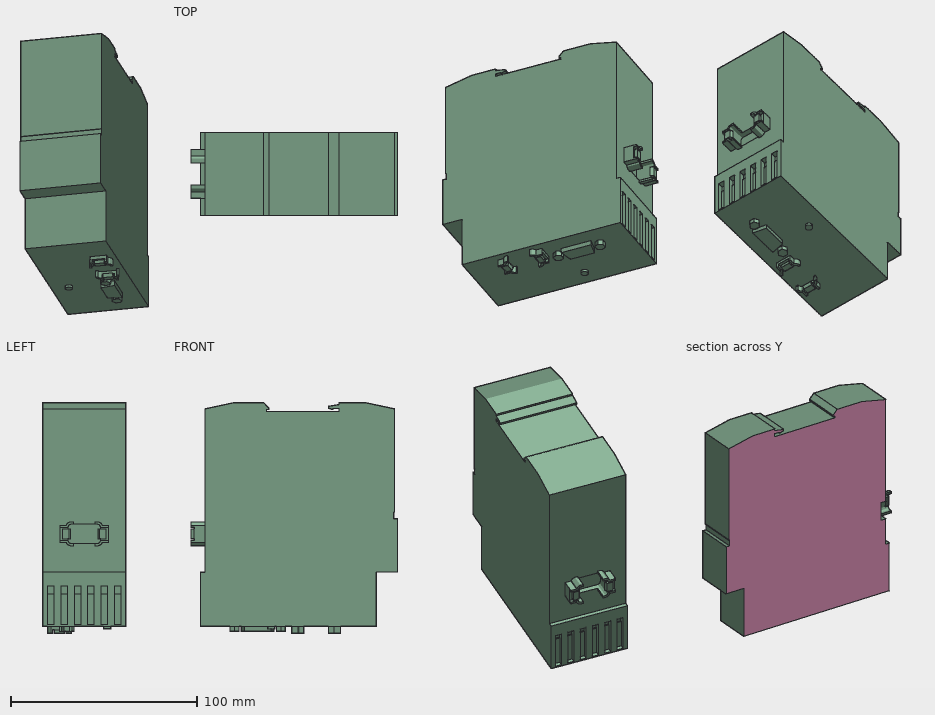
import cadquery as cq

WIDTH = 44.8
HEIGHT = 120.3
LENGTH = 102.0

FOOT_HEIGHT = 29.1
FOOT_OVERHANG = 2.4
FOOT_LENGTH = 94.5

FRONT_BLOCK_X = 103.7
FRONT_BLOCK_TOP = 57.9
FRONT_STEP_TOP = 61.4
FRONT_STEP = 0.5

SHOULDER_DROP = 3.3
REAR_SHOULDER_X = 15.5
FRONT_SHOULDER_X = 86.3
CHANNEL_DROP = 4.7
CHANNEL_REAR_X = 33.2
CHANNEL_FRONT_X = 72.0
REAR_LIP_X = 34.3
REAR_LIP_START_X = 31.6
REAR_LIP_DROP = 2.9
REAR_LIP_UNDER_DROP = 3.8
LATCH_TIP_X = 66.3
LATCH_TIP_TOP_DROP = 2.0
LATCH_TIP_BOTTOM_DROP = 3.0
LATCH_ROOT_DROP = 1.0
LATCH_HEEL_X = 68.8
LATCH_HEEL_DROP = 3.8
LATCH_UNDER_DROP = 3.2

SLOT_COUNT = 6
SLOT_PITCH = 7.2
SLOT_WIDTH = 3.5
SLOT_BOTTOM = 0.9
SLOT_STEP_Z = 17.5
SLOT_TOP = 21.7
SLOT_DEPTH = 2.4
SLOT_UPPER_DEPTH = 3.1

CLIP_INNER_REACH = 8.7
CLIP_INNER_HALF_HEIGHT = 5.2
CLIP_INNER_RADIUS = 1.7
CLIP_WALL = 1.2
CLIP_FLANGE_REACH = 13.1
CLIP_FLANGE_HALF_HEIGHT = 4.6
CLIP_NOTCH_HALF_HEIGHT = 3.5
CLIP_NOTCH_DEPTH = 1.9
HOOK_TIP_REACH = 8.2
HOOK_BASE_REACH = 7.3
HOOK_OUTER_REACH = 11.7
HOOK_HALF_HEIGHT = 2.7

REAR_CLIP_LENGTH = 7.6
REAR_CLIP_Z = 49.7
REAR_CLIP_ARM_REACH = 5.8
REAR_POCKET_DEPTH = 3.0
BOTTOM_CLIP_LENGTH = 3.7
BOTTOM_CLIP_X = 59.8
BOTTOM_CLIP_Y = 13.4
BOTTOM_CLIP_ARM_REACH = 6.6

CONNECTOR_X = 28.4
CONNECTOR_Y = 9.4
CONNECTOR_LENGTH = 17.7
CONNECTOR_SHORT_LENGTH = 14.4
CONNECTOR_WIDTH = 7.9
CONNECTOR_DEPTH = 2.7
STUD_SPACING = 24.9
STUD_CORNER_DIAMETER = 5.7

BUTTON_X = 35.7
BUTTON_Y = -12.3
BUTTON_DIAMETER = 4.0
BUTTON_DEPTH = 1.4


def box(x_range, y_range, z_range):
    """Box between the given limits."""
    size = [high - low for low, high in (x_range, y_range, z_range)]
    low_corner = (x_range[0], y_range[0], z_range[0])
    return cq.Workplane("XY").box(*size, centered=False).translate(low_corner)


def make_housing():
    """Side outline of housing, foot, front block and rail channel, extruded across the width."""
    outline = [
        (-FOOT_OVERHANG, 0),
        (FOOT_LENGTH - FOOT_OVERHANG, 0),
        (FOOT_LENGTH - FOOT_OVERHANG, FOOT_HEIGHT),
        (FRONT_BLOCK_X, FOOT_HEIGHT),
        (FRONT_BLOCK_X, FRONT_BLOCK_TOP),
        (LENGTH - FRONT_STEP, FRONT_BLOCK_TOP),
        (LENGTH - FRONT_STEP, FRONT_STEP_TOP),
        (LENGTH, FRONT_STEP_TOP),
        (LENGTH, HEIGHT - SHOULDER_DROP),
        (FRONT_SHOULDER_X, HEIGHT),
        (CHANNEL_FRONT_X, HEIGHT),
        (CHANNEL_FRONT_X, HEIGHT - LATCH_ROOT_DROP),
        (LATCH_TIP_X, HEIGHT - LATCH_TIP_TOP_DROP),
        (LATCH_TIP_X, HEIGHT - LATCH_TIP_BOTTOM_DROP),
        (LATCH_HEEL_X, HEIGHT - LATCH_HEEL_DROP),
        (LATCH_HEEL_X, HEIGHT - LATCH_UNDER_DROP),
        (CHANNEL_FRONT_X, HEIGHT - LATCH_UNDER_DROP),
        (CHANNEL_FRONT_X, HEIGHT - CHANNEL_DROP),
        (CHANNEL_REAR_X, HEIGHT - CHANNEL_DROP),
        (CHANNEL_REAR_X, HEIGHT - REAR_LIP_UNDER_DROP),
        (REAR_LIP_X, HEIGHT - REAR_LIP_UNDER_DROP),
        (REAR_LIP_X, HEIGHT - REAR_LIP_DROP),
        (REAR_LIP_START_X, HEIGHT),
        (REAR_SHOULDER_X, HEIGHT),
        (0, HEIGHT - SHOULDER_DROP),
        (0, FOOT_HEIGHT),
        (-FOOT_OVERHANG, FOOT_HEIGHT),
    ]
    return cq.Workplane("XZ").polyline(outline).close().extrude(WIDTH / 2, both=True)


def make_slots():
    """Cutters for the row of stepped vent slots."""
    slots = cq.Workplane("XY")
    rear = -FOOT_OVERHANG
    for index in range(SLOT_COUNT):
        centre = (index - (SLOT_COUNT - 1) / 2) * SLOT_PITCH
        y_range = (centre - SLOT_WIDTH / 2, centre + SLOT_WIDTH / 2)
        slots = slots.add(box((rear, rear + SLOT_DEPTH), y_range, (SLOT_BOTTOM, SLOT_TOP)))
        slots = slots.add(box((rear, rear + SLOT_UPPER_DEPTH), y_range, (SLOT_STEP_Z, SLOT_TOP)))
    return slots.combine()


def clip_interior(depth):
    """Rounded opening enclosed by a clip pair, centred on the local Z axis."""
    opening = cq.Workplane("XY").rect(2 * CLIP_INNER_REACH, 2 * CLIP_INNER_HALF_HEIGHT).extrude(depth)
    return opening.edges("|Z").fillet(CLIP_INNER_RADIUS)


def make_clip_pair(length, arm_reach):
    """Two facing C-shaped clips rising along local Z, spaced along local X."""
    outer_reach = CLIP_INNER_REACH + CLIP_WALL
    outer_half_height = CLIP_INNER_HALF_HEIGHT + CLIP_WALL
    ring = cq.Workplane("XY").rect(2 * outer_reach, 2 * outer_half_height).extrude(length)
    ring = ring.edges("|Z").fillet(CLIP_INNER_RADIUS + CLIP_WALL)
    flanges = cq.Workplane("XY").rect(2 * CLIP_FLANGE_REACH, 2 * CLIP_FLANGE_HALF_HEIGHT).extrude(length)
    gap = cq.Workplane("XY").rect(2 * arm_reach, 2 * outer_half_height).extrude(length)
    clips = ring.union(flanges).cut(clip_interior(length)).cut(gap)

    notch_floor = length - CLIP_NOTCH_DEPTH
    notch = box(
        (-CLIP_FLANGE_REACH, CLIP_FLANGE_REACH),
        (-CLIP_NOTCH_HALF_HEIGHT, CLIP_NOTCH_HALF_HEIGHT),
        (notch_floor, length),
    )
    hook_outline = [
        (HOOK_BASE_REACH, notch_floor),
        (HOOK_OUTER_REACH, notch_floor),
        (HOOK_OUTER_REACH, length),
        (HOOK_TIP_REACH, length),
    ]
    hook = cq.Workplane("XZ").polyline(hook_outline).close().extrude(HOOK_HALF_HEIGHT, both=True)
    return clips.cut(notch).union(hook).union(hook.mirror("YZ"))


def place(shape, plane):
    """Move a shape from local coordinates onto the given plane."""
    return cq.Workplane("XY").add(shape.val().moved(cq.Location(plane)))


def make_connector():
    """D-shaped connector body with its two studs."""
    half_long = CONNECTOR_LENGTH / 2
    half_short = CONNECTOR_SHORT_LENGTH / 2
    half_width = CONNECTOR_WIDTH / 2
    outline = [
        (-half_short, -half_width),
        (half_short, -half_width),
        (half_long, half_width),
        (-half_long, half_width),
    ]
    shell = cq.Workplane("XY").polyline(outline).close().extrude(-CONNECTOR_DEPTH)
    stud = cq.Workplane("XY").polygon(6, STUD_CORNER_DIAMETER).extrude(-CONNECTOR_DEPTH)
    stud = stud.rotate((0, 0, 0), (0, 0, 1), 90)
    for stud_x in (-STUD_SPACING / 2, STUD_SPACING / 2):
        shell = shell.union(stud.translate((stud_x, 0, 0)))
    return shell.translate((CONNECTOR_X, CONNECTOR_Y, 0))


rear_plane = cq.Plane(origin=(0, 0, REAR_CLIP_Z), xDir=(0, 1, 0), normal=(-1, 0, 0))
bottom_plane = cq.Plane(origin=(BOTTOM_CLIP_X, BOTTOM_CLIP_Y, 0), xDir=(1, 0, 0), normal=(0, 0, -1))

rear_pocket = place(clip_interior(-REAR_POCKET_DEPTH), rear_plane)
rear_clips = make_clip_pair(REAR_CLIP_LENGTH, REAR_CLIP_ARM_REACH)
bottom_clips = make_clip_pair(BOTTOM_CLIP_LENGTH, BOTTOM_CLIP_ARM_REACH)
button = cq.Workplane("XY").center(BUTTON_X, BUTTON_Y).circle(BUTTON_DIAMETER / 2).extrude(-BUTTON_DEPTH)

result = make_housing().cut(make_slots()).cut(rear_pocket)
result = result.union(place(rear_clips, rear_plane)).union(place(bottom_clips, bottom_plane))
result = result.union(make_connector()).union(button)